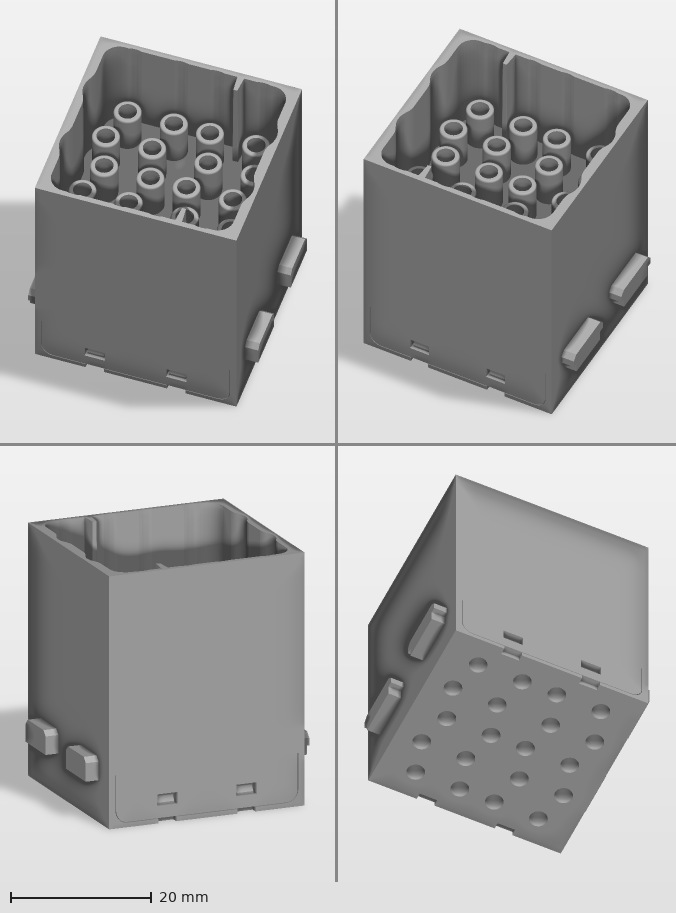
import cadquery as cq
import math

overall_x = 34.2
body_y = 29.2
body_z = 37.5
tab_reach = 2.0
body_x = overall_x - 2 * tab_reach

last_row = 2
row_pitch = 5.2
tube_spacing = 6.95
narrow_row_inner_x = 2.7
wide_row_inner_x = 4.2
tube_od = 4.0
bore_d = 2.65
tube_rim_fillet = 0.3
floor_z = 21.6
tube_height = 6.0

cavity_x = 27.3
cavity_y = 27.6
cavity_corner_r = 2.4
cavity_draft = 0.5
row_bump_r = 3.52
bulge_r = 3.35
bulge_blend_r = 3.38

rib_x = 6.2
rib_tip_y = 11.4
rib_base_width = 1.0
rib_tip_width = 0.6

tab_y = 7.25
parting_z = 7.88
tab_top_z = 9.75
tab_bottom_z = 6.25
wide_tab_width = 8.8
narrow_tab_width = 7.12
tab_chamfer = 0.75

panel_half_x = 14.15
panel_bottom_z = 0.8
panel_corner_r = 1.88
groove_width = 0.1
groove_depth = 0.22

window_x = 6.1
window_width = 3.08
window_z = 2.6
window_height = 1.72
window_depth = 1.05
latch_width = 2.55
latch_face_height = 0.35
latch_height = 1.15
latch_slope_run = 0.55
notch_width = 2.78
notch_depth = 1.0


def row_points(row):
    """Centres of the four tubes in one row; even rows are the narrow ones."""
    inner = narrow_row_inner_x if row % 2 == 0 else wide_row_inner_x
    outer = inner + tube_spacing
    return [(x, row * row_pitch) for x in (-outer, -inner, inner, outer)]


def tube_points():
    return [point for row in range(-last_row, last_row + 1) for point in row_points(row)]


def box(x0, x1, y0, y1, z0, z1):
    return cq.Workplane("XY").box(x1 - x0, y1 - y0, z1 - z0, centered=False).translate((x0, y0, z0))


def side_bulge(height):
    """Bulge of the +X cavity wall around a wide-row tube, blended into the flat wall."""
    wall = cavity_x / 2
    center = wide_row_inner_x + tube_spacing
    blend_center = wall + bulge_blend_r
    half_span = math.sqrt((bulge_r + bulge_blend_r) ** 2 - (blend_center - center) ** 2)
    share = bulge_r / (bulge_r + bulge_blend_r)
    joint = (center + share * (blend_center - center), share * half_span)
    half_angle = math.atan2(half_span, blend_center - center) / 2
    blend_mid = (
        blend_center - bulge_blend_r * math.cos(half_angle),
        half_span - bulge_blend_r * math.sin(half_angle),
    )
    return (
        cq.Workplane("XY")
        .moveTo(center, -half_span)
        .lineTo(wall, -half_span)
        .threePointArc((blend_mid[0], -blend_mid[1]), (joint[0], -joint[1]))
        .threePointArc((center + bulge_r, 0), joint)
        .threePointArc(blend_mid, (wall, half_span))
        .lineTo(center, half_span)
        .close()
        .extrude(height)
    )


def rib(height):
    """Rib on the +Y cavity wall at rim size, narrowing towards its tip."""
    root_y = cavity_y / 2
    return (
        cq.Workplane("XY")
        .polyline([
            (rib_x - rib_tip_width / 2, rib_tip_y),
            (rib_x + rib_tip_width / 2, rib_tip_y),
            (rib_x + rib_base_width / 2, root_y),
            (rib_x + rib_base_width / 2, body_y / 2),
            (rib_x - rib_base_width / 2, body_y / 2),
            (rib_x - rib_base_width / 2, root_y),
        ])
        .close()
        .extrude(height)
    )


def cavity():
    """Rim outline built as a straight prism, then extruded down again with draft."""
    depth = body_z - floor_z
    outline = cq.Workplane("XY").rect(cavity_x, cavity_y).extrude(depth).edges("|Z").fillet(cavity_corner_r)
    for x, y in row_points(-last_row) + row_points(last_row):
        outline = outline.union(cq.Workplane("XY").center(x, y).circle(row_bump_r).extrude(depth))
    for y in (-row_pitch, row_pitch):
        bulge = side_bulge(depth).translate((0, y, 0))
        outline = outline.union(bulge).union(bulge.mirror("YZ"))
    outline = outline.cut(rib(depth)).cut(rib(depth).mirror("XZ"))
    rim = outline.clean().faces("<Z").wires().val()
    drafted = cq.Workplane("XY").add(rim).toPending().extrude(-depth, taper=cavity_draft)
    return drafted.translate((0, 0, body_z))


def tubes():
    return (
        cq.Workplane("XY", origin=(0, 0, floor_z))
        .pushPoints(tube_points())
        .circle(tube_od / 2)
        .extrude(tube_height)
        .faces(">Z")
        .edges()
        .fillet(tube_rim_fillet)
    )


def side_tab(upper_width):
    """Tab standing out of the +X face, centred on Y = 0."""
    x0 = body_x / 2
    x1 = overall_x / 2
    upper = box(x0, x1, -upper_width / 2, upper_width / 2, parting_z, tab_top_z)
    upper = upper.faces(">Z").edges("|X").chamfer(tab_chamfer)
    lower = box(x0, x1, -narrow_tab_width / 2, narrow_tab_width / 2, tab_bottom_z, parting_z)
    return upper.union(lower)


def panel_prism(inset):
    """Round-bottomed panel outline, cut to the groove depth behind the -Y face."""
    half_x = panel_half_x - inset
    bottom_z = panel_bottom_z - groove_width + inset
    prism = box(-half_x, half_x, -body_y / 2, groove_depth - body_y / 2, bottom_z, parting_z)
    return prism.faces("<Z").edges("|Y").fillet(panel_corner_r - inset)


def latch_window():
    """Window pocket in the -Y face, with the latch left standing at its back."""
    face = -body_y / 2
    back = face + window_depth
    pocket = box(-window_width / 2, window_width / 2, face, back, window_z, window_z + window_height)
    latch_face = back - latch_slope_run
    latch = (
        cq.Workplane("YZ", origin=(-latch_width / 2, 0, 0))
        .polyline([
            (back, window_z),
            (latch_face, window_z),
            (latch_face, window_z + latch_face_height),
            (back, window_z + latch_height),
        ])
        .close()
        .extrude(latch_width)
    )
    return pocket.cut(latch)


def bottom_notch():
    face = -body_y / 2
    return box(-notch_width / 2, notch_width / 2, face, face + notch_depth, 0, panel_bottom_z)


def face_cuts():
    """Everything cut into the -Y face."""
    cuts = panel_prism(0).cut(panel_prism(groove_width))
    for x in (-window_x, window_x):
        cuts = cuts.union(latch_window().translate((x, 0, 0)))
        cuts = cuts.union(bottom_notch().translate((x, 0, 0)))
    return cuts


body = cq.Workplane("XY").box(body_x, body_y, body_z, centered=(True, True, False))
body = body.cut(cavity()).union(tubes())
body = body.cut(cq.Workplane("XY").pushPoints(tube_points()).circle(bore_d / 2).extrude(body_z))

for y in (-tab_y, tab_y):
    body = body.union(side_tab(wide_tab_width).mirror("YZ").translate((0, y, 0)))
    body = body.union(side_tab(narrow_tab_width).translate((0, y, 0)))

cuts = face_cuts()
result = body.cut(cuts).cut(cuts.mirror("XZ"))